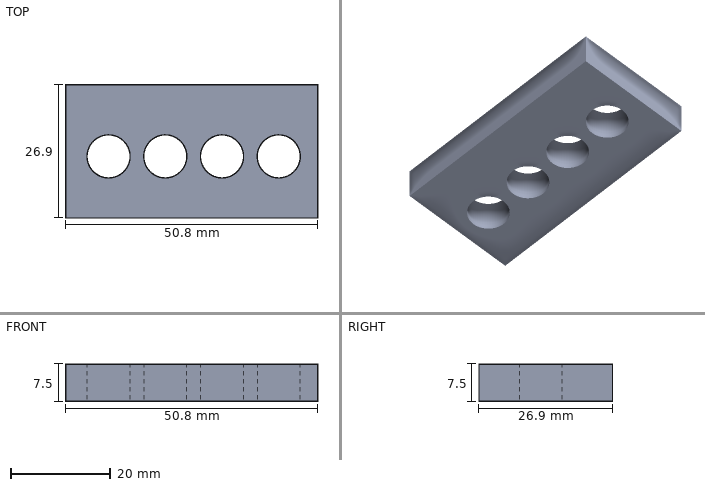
import cadquery as cq

plate_length = 50.8
plate_width = 26.924
plate_thickness = 7.5

hole_diameter = 8.636
hole_count = 4
hole_pitch = 11.43
first_hole_x = hole_diameter
hole_row_y = 12.446


def make_plate():
    """Rectangular plate with one corner at the origin."""
    return cq.Workplane("XY").box(plate_length, plate_width, plate_thickness, centered=False)


def make_hole_row():
    """Cylinders that cut the row of through holes along X."""
    centers = [(first_hole_x + i * hole_pitch, hole_row_y) for i in range(hole_count)]
    return cq.Workplane("XY").pushPoints(centers).circle(hole_diameter / 2).extrude(plate_thickness)


result = make_plate().cut(make_hole_row())